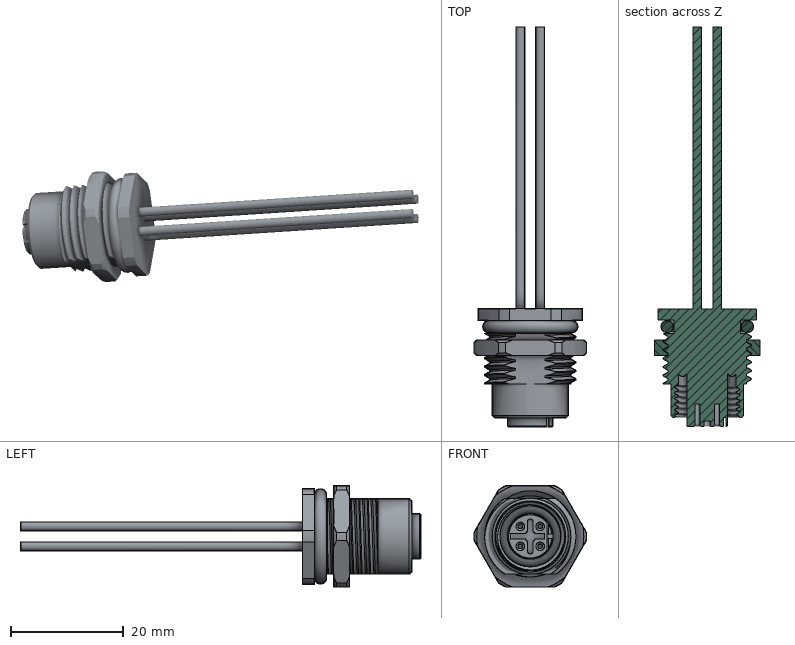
import cadquery as cq
import math


lead_length = 50.0
flange_thickness = 2.1
connector_length = 21.0
insert_projection = 1.6
nose_length = 6.0
seal_groove_width = 2.3
nut_thickness = 2.8
nut_gap = 3.45

tip_y = -connector_length
nose_y = tip_y + insert_projection
thread_front_y = nose_y + nose_length
flange_front_y = -flange_thickness
thread_rear_y = flange_front_y - seal_groove_width
nut_rear_y = flange_front_y - nut_gap
nut_front_y = nut_rear_y - nut_thickness

flange_across_flats = 17.0
flange_diameter = 18.55
nose_radius = 6.75
nose_chamfer = 0.45
flats_width = 13.42

flank_angle = math.radians(30)
crest_flat_ratio = 1 / 8
root_overlap = 0.1

thread_pitch = 1.5
thread_crest_radius = 8.1
thread_root_radius = 7.2
first_crest_offset = 0.85

socket_radius = 5.4
socket_depth = 8.0
socket_mouth_radius = 6.1
socket_thread_pitch = 1.0
socket_thread_radius = 6.0

insert_radius = 4.05
insert_chamfer = 0.2
contact_circle_radius = 2.5
contact_offset = contact_circle_radius / math.sqrt(2)
contact_hole_radius = 0.4
contact_mouth_radius = 0.75
contact_hole_depth = 4.0
cross_width = 1.0
cross_hub_radius = 1.0
cross_depth = 1.0
cross_reach = 3.1
cross_reach_key_side = 2.5
cross_reach_far_side = 3.5
key_slot_x = 2.95
key_slot_width = 0.3
key_notch_width = 0.8

lead_radius = 0.8

seal_section_radius = 1.1
seal_outer_radius = 8.45
seal_ring_radius = seal_outer_radius - seal_section_radius
seal_groove_radius = seal_ring_radius - seal_section_radius
seal_y = flange_front_y - seal_section_radius
bead_section_radius = (socket_radius - insert_radius) / 2
bead_ring_radius = (socket_radius + insert_radius) / 2

nut_across_flats = 18.0
nut_diameter = 20.0
nut_chamfer = 0.5

quadrants = [(sx * contact_offset, sz * contact_offset) for sx in (-1, 1) for sz in (-1, 1)]


def cross_section(y):
    """XZ sketch plane at y; extruding goes toward the mating end (-Y)."""
    return cq.Workplane("XZ", origin=(0, y, 0))


def disc(radius, front_y, rear_y):
    return cross_section(rear_y).circle(radius).extrude(rear_y - front_y)


def hexagon(across_flats, front_y, rear_y):
    corner_diameter = across_flats / math.cos(math.pi / 6)
    return cross_section(rear_y).polygon(6, corner_diameter).extrude(rear_y - front_y)


def cone(front_radius, rear_radius, depth, front_y):
    start = cq.Vector(0, front_y, 0)
    return cq.Workplane(cq.Solid.makeCone(front_radius, rear_radius, depth, start, cq.Vector(0, 1, 0)))


def torus(ring_radius, section_radius, y):
    section = cq.Workplane("XY").center(ring_radius, y).circle(section_radius)
    return section.revolve(360, (-ring_radius, 0), (-ring_radius, 1))


def thread_ridge(pitch, root_radius, crest_radius, start_y, end_y):
    """Right-hand helical ridge of trapezoid section, starting on the +X side."""
    base_radius = root_radius - root_overlap
    crest_width = crest_flat_ratio * pitch
    base_width = crest_width + 2 * (crest_radius - base_radius) * math.tan(flank_angle)
    path = cq.Wire.makeHelix(pitch, end_y - start_y, base_radius)
    profile = cq.Workplane("XZ").polyline([
        (base_radius, -base_width / 2),
        (crest_radius, -crest_width / 2),
        (crest_radius, crest_width / 2),
        (base_radius, base_width / 2),
    ]).close()
    ridge = profile.sweep(cq.Workplane(path), isFrenet=True)
    return ridge.rotate((0, 0, 0), (1, 0, 0), -90).translate((0, start_y, 0))


def make_threaded_rod():
    ridge = thread_ridge(thread_pitch, thread_root_radius, thread_crest_radius,
                         thread_front_y + first_crest_offset - 2 * thread_pitch,
                         thread_rear_y + 2 * thread_pitch)
    overrun = 3 * thread_pitch
    rod = disc(thread_root_radius, thread_front_y - overrun, thread_rear_y + overrun).union(ridge)
    return rod.intersect(disc(2 * thread_crest_radius, thread_front_y, thread_rear_y))


def make_socket():
    """Threaded bore of the nose."""
    bore = disc(socket_radius, nose_y, nose_y + socket_depth)
    groove = thread_ridge(socket_thread_pitch, socket_radius, socket_thread_radius,
                          nose_y - socket_thread_pitch, nose_y + socket_depth - 2 * socket_thread_pitch)
    mouth_depth = socket_mouth_radius - socket_radius
    return bore.union(groove).union(cone(socket_mouth_radius, socket_radius, mouth_depth, nose_y))


def make_cross():
    """Cross-shaped recess in the insert face."""
    plane = cross_section(tip_y + cross_depth)
    bar_length = cross_reach_key_side + cross_reach_far_side
    bar_center = (cross_reach_key_side - cross_reach_far_side) / 2
    across = plane.center(bar_center, 0).rect(bar_length, cross_width).extrude(cross_depth)
    upright = plane.slot2D(2 * cross_reach, cross_width, 90).extrude(cross_depth)
    hub = plane.circle(cross_hub_radius).extrude(cross_depth)
    return across.union(upright).union(hub)


def make_key():
    """Chord slot across the +X side of the insert, with a notch from it to the rim."""
    plane = cross_section(nose_y)
    slot = plane.center(key_slot_x + key_slot_width / 2, 0)
    slot = slot.rect(key_slot_width, 2 * insert_radius).extrude(insert_projection)
    notch_length = insert_radius - key_slot_x
    notch = plane.center(key_slot_x + notch_length / 2, 0)
    notch = notch.rect(notch_length, key_notch_width).extrude(insert_projection)
    return slot.union(notch)


def make_contact_holes():
    holes = cross_section(tip_y + contact_hole_depth).pushPoints(quadrants)
    holes = holes.circle(contact_hole_radius).extrude(contact_hole_depth)
    mouth_depth = contact_mouth_radius - contact_hole_radius
    mouth = cone(contact_mouth_radius, contact_hole_radius, mouth_depth, tip_y)
    for x, z in quadrants:
        holes = holes.union(mouth.translate((x, 0, z)))
    return holes


def make_insert():
    insert = disc(insert_radius, tip_y, nose_y + socket_depth)
    insert = insert.faces("<Y").chamfer(insert_chamfer)
    return insert.cut(make_cross()).cut(make_key()).cut(make_contact_holes())


def make_housing(threaded_rod):
    nose = disc(nose_radius, nose_y, thread_front_y).faces("<Y").chamfer(nose_chamfer)
    groove_core = disc(seal_groove_radius, thread_rear_y, flange_front_y)
    barrel = nose.union(threaded_rod).union(groove_core)
    flats = cq.Workplane("XY").box(4 * nose_radius, 2 * connector_length, flats_width)
    barrel = barrel.intersect(flats).cut(make_socket())

    flange = hexagon(flange_across_flats, flange_front_y, 0)
    flange = flange.intersect(disc(flange_diameter / 2, flange_front_y, 0))

    bead = torus(bead_ring_radius, bead_section_radius, nose_y + socket_depth)
    leads = cross_section(lead_length).pushPoints(quadrants).circle(lead_radius).extrude(lead_length)
    return barrel.union(flange).union(make_insert()).union(bead).union(leads)


def make_nut(threaded_rod):
    envelope = disc(nut_diameter / 2, nut_front_y, nut_rear_y).edges().chamfer(nut_chamfer)
    return hexagon(nut_across_flats, nut_front_y, nut_rear_y).intersect(envelope).cut(threaded_rod)


threaded_rod = make_threaded_rod()
housing = make_housing(threaded_rod)
nut = make_nut(threaded_rod)
seal_ring = torus(seal_ring_radius, seal_section_radius, seal_y)

result = cq.Compound.makeCompound([housing.solids().val(), nut.solids().val(), seal_ring.val()])